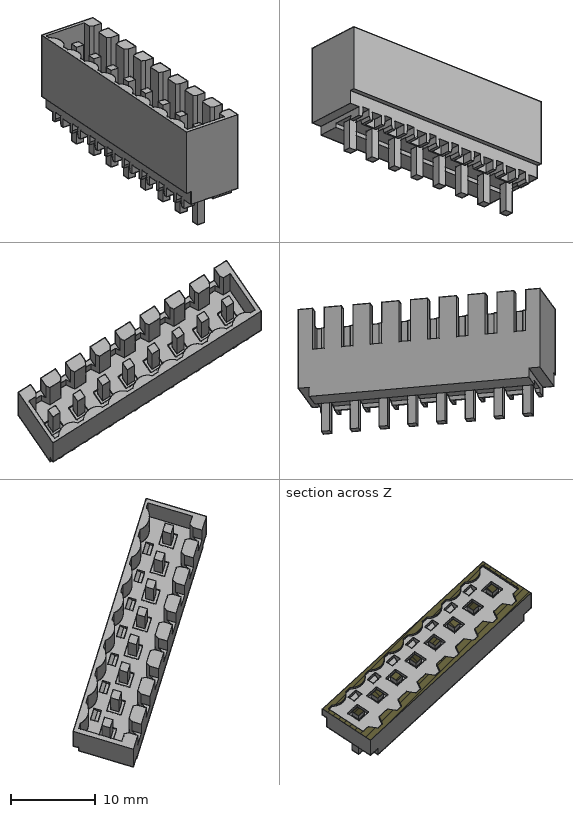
import cadquery as cq


LENGTH = 29.4
DEPTH = 7.45
HEIGHT = 11.05
FRONT_STEP_DEPTH = 0.62
FRONT_STEP_TOP = 2.82
END_EAR_LENGTH = 1.35
END_EAR_BOTTOM = 1.15
CORNER_CHAMFER = 0.1

PIN_COUNT = 8
PITCH = 3.5
PIN_WIDTH = 1.03
PIN_LENGTH = 13.0
PIN_TAIL = 3.2
PIN_Y = 3.47

CAVITY_DEPTH = 7.35
LEFT_WALL = 0.47
RIGHT_WALL = 0.53
FRONT_WALL = 0.45
FRONT_WALL_LEFT_END = 0.35
FRONT_WALL_RIGHT_END = 0.53
BACK_WALL = 1.6
RIB_RADIUS = 1.73
RIB_CREST_Y = 1.1

GROOVE_OUTER_WIDTH = 0.82
GROOVE_INNER_WIDTH = 1.95
GROOVE_WEB = 0.6
BACK_SLOT_WIDTH = 1.4
BACK_SLOT_DEPTH = 5.15

PIN_RECESS_WIDTH = 1.75
PIN_RECESS_DEPTH = 0.45
POCKET_WIDTH = 1.4
POCKET_FRONT_Y = 1.05
POCKET_RAMP_Y = 1.53
POCKET_BACK_Y = 1.97
POCKET_DEPTH = 0.88

CHANNEL_FRONT_Y = 2.12
CHANNEL_BACK_Y = 4.75
CHANNEL_TOP = 0.53
FOOT_GAP_WIDTH = 1.4
FOOT_GAP_DEPTH = 1.32
PIN_SLOT_WIDTH = 1.0
PIN_SLOT_TOP = 1.32
PIN_SLOT_FLARE = 0.15
PIN_SLOT_FLARE_HEIGHT = 0.45

HALF_LENGTH = LENGTH / 2
FLOOR_Z = HEIGHT - CAVITY_DEPTH
CAVITY_BACK_Y = DEPTH - BACK_WALL
PIN_FRONT_Y = PIN_Y - PIN_WIDTH / 2
PIN_XS = [(i - (PIN_COUNT - 1) / 2) * PITCH for i in range(PIN_COUNT)]
GAP_XS = [x + PITCH / 2 for x in PIN_XS[:-1]]


def block(x0, x1, y0, y1, z0, z1):
    """Box between two opposite corners."""
    return cq.Workplane("XY").box(x1 - x0, y1 - y0, z1 - z0, centered=False).translate((x0, y0, z0))


def centred_block(x, width, y0, y1, z0, z1):
    """Box centred on x."""
    return block(x - width / 2, x + width / 2, y0, y1, z0, z1)


def side_profile(x, width, points):
    """Prism along X, centred on x, from (y, z) points."""
    return cq.Workplane("YZ").polyline(points).close().extrude(width).translate((x - width / 2, 0, 0))


def housing_shell():
    """Solid outside shape with the front setback, the end ears and the channel under the pins."""
    profile = [
        (FRONT_STEP_DEPTH, 0),
        (CHANNEL_FRONT_Y, 0),
        (CHANNEL_FRONT_Y, CHANNEL_TOP),
        (CHANNEL_BACK_Y, CHANNEL_TOP),
        (CHANNEL_BACK_Y, 0),
        (DEPTH, 0),
        (DEPTH, HEIGHT),
        (0, HEIGHT),
        (0, FRONT_STEP_TOP),
        (FRONT_STEP_DEPTH, FRONT_STEP_TOP),
    ]
    shell = side_profile(0, LENGTH, profile)
    ear_x = HALF_LENGTH - END_EAR_LENGTH
    shell = shell.cut(block(-HALF_LENGTH, -ear_x, 0, DEPTH, 0, END_EAR_BOTTOM))
    shell = shell.cut(block(ear_x, HALF_LENGTH, 0, DEPTH, 0, END_EAR_BOTTOM))
    return shell.cut(corner_wedge())


def corner_wedge():
    """Small upright wedge that chamfers the lower front corner at the right end."""
    points = [
        (HALF_LENGTH - CORNER_CHAMFER, FRONT_STEP_DEPTH),
        (HALF_LENGTH, FRONT_STEP_DEPTH),
        (HALF_LENGTH, FRONT_STEP_DEPTH + CORNER_CHAMFER),
    ]
    return cq.Workplane("XY").polyline(points).close().extrude(FRONT_STEP_TOP)


def cavity():
    """Open-topped space inside; the front wall differs a little at each end and has a rib at each pin."""
    left_x = -HALF_LENGTH + LEFT_WALL
    right_x = HALF_LENGTH - RIGHT_WALL
    first_x = PIN_XS[0]
    last_x = PIN_XS[-1]
    space = block(first_x, last_x, FRONT_WALL, CAVITY_BACK_Y, FLOOR_Z, HEIGHT)
    space = space.union(block(left_x, first_x, FRONT_WALL_LEFT_END, CAVITY_BACK_Y, FLOOR_Z, HEIGHT))
    space = space.union(block(last_x, right_x, FRONT_WALL_RIGHT_END, CAVITY_BACK_Y, FLOOR_Z, HEIGHT))
    for x in PIN_XS:
        rib = cq.Workplane("XY").circle(RIB_RADIUS).extrude(CAVITY_DEPTH)
        space = space.cut(rib.translate((x, RIB_CREST_Y - RIB_RADIUS, FLOOR_Z)))
    return space


def back_opening(x):
    """Tapered groove inside the back wall, with a slot through the upper part of the wall."""
    groove_points = [
        (x - GROOVE_INNER_WIDTH / 2, CAVITY_BACK_Y),
        (x - GROOVE_OUTER_WIDTH / 2, DEPTH - GROOVE_WEB),
        (x + GROOVE_OUTER_WIDTH / 2, DEPTH - GROOVE_WEB),
        (x + GROOVE_INNER_WIDTH / 2, CAVITY_BACK_Y),
    ]
    floor_plane = cq.Workplane("XY").workplane(offset=FLOOR_Z)
    groove = floor_plane.polyline(groove_points).close().extrude(CAVITY_DEPTH)
    slot = centred_block(x, BACK_SLOT_WIDTH, CAVITY_BACK_Y, DEPTH, HEIGHT - BACK_SLOT_DEPTH, HEIGHT)
    return groove.union(slot)


def pin_recess(x):
    """Shallow square recess in the floor around a pin."""
    half = PIN_RECESS_WIDTH / 2
    return centred_block(x, PIN_RECESS_WIDTH, PIN_Y - half, PIN_Y + half, FLOOR_Z - PIN_RECESS_DEPTH, FLOOR_Z)


def ramped_pocket(x):
    """Floor pocket with a flat bottom at the back and a 45 degree ramp at the front."""
    bottom_z = FLOOR_Z - POCKET_DEPTH
    ramp_top_z = bottom_z + POCKET_RAMP_Y - POCKET_FRONT_Y
    points = [
        (POCKET_FRONT_Y, FLOOR_Z),
        (POCKET_FRONT_Y, ramp_top_z),
        (POCKET_RAMP_Y, bottom_z),
        (POCKET_BACK_Y, bottom_z),
        (POCKET_BACK_Y, FLOOR_Z),
    ]
    return side_profile(x, POCKET_WIDTH, points)


def foot_gap(x):
    """Gap between the front feet."""
    back_y = FRONT_STEP_DEPTH + FOOT_GAP_DEPTH
    return centred_block(x, FOOT_GAP_WIDTH, FRONT_STEP_DEPTH, back_y, 0, END_EAR_BOTTOM)


def pin_slot(x):
    """Slot from the front face to the pin, flared at its lower mouth."""
    half = PIN_SLOT_WIDTH / 2
    points = [
        (x - half - PIN_SLOT_FLARE, 0),
        (x - half, PIN_SLOT_FLARE_HEIGHT),
        (x - half, PIN_SLOT_TOP),
        (x + half, PIN_SLOT_TOP),
        (x + half, PIN_SLOT_FLARE_HEIGHT),
        (x + half + PIN_SLOT_FLARE, 0),
    ]
    run = PIN_FRONT_Y - FRONT_STEP_DEPTH
    return cq.Workplane("XZ").polyline(points).close().extrude(-run).translate((0, FRONT_STEP_DEPTH, 0))


def make_pin(x):
    """Square contact pin, reaching from below the feet up into the cavity."""
    half = PIN_WIDTH / 2
    return centred_block(x, PIN_WIDTH, PIN_Y - half, PIN_Y + half, -PIN_TAIL, PIN_LENGTH - PIN_TAIL)


def make_housing(pins):
    """Housing with all its openings and a matching hole for each pin."""
    body = housing_shell().cut(cavity())
    for x in PIN_XS:
        body = body.cut(back_opening(x)).cut(pin_recess(x)).cut(pin_slot(x))
    for x in GAP_XS:
        body = body.cut(ramped_pocket(x)).cut(foot_gap(x))
    for pin in pins:
        body = body.cut(pin)
    return body


pins = [make_pin(x) for x in PIN_XS]
housing = make_housing(pins)

result = cq.Compound.makeCompound([housing.val(), *[pin.val() for pin in pins]])